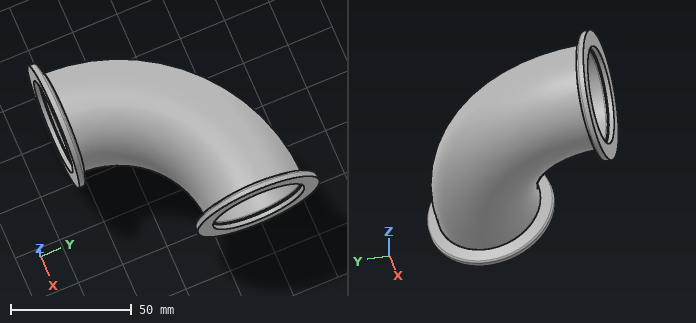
import cadquery as cq
import math

overall_length = 92.5
flange_diameter = 55.0
flange_radius = flange_diameter / 2

tube_outer_radius = 22.2
tube_bore_radius = 20.3

flange_thickness = 4.4
flange_cone_angle = 15.0
rim_round_radius = 0.9
flange_bore_radius = 20.5
flange_bore_depth = 2.2
bore_taper_length = 0.6
bend_start_depth = 3.6

bend_radius = overall_length - flange_radius - bend_start_depth
cone_height = (flange_radius - tube_outer_radius) * math.tan(math.radians(flange_cone_angle))
rim_height = flange_thickness - cone_height

inlet_center = (flange_radius, 0, 0)
outlet_center = (overall_length, overall_length - flange_radius, 0)
inlet_plane = cq.Plane(origin=inlet_center, xDir=(1, 0, 0), normal=(0, 1, 0))
outlet_plane = cq.Plane(origin=outlet_center, xDir=(0, 1, 0), normal=(-1, 0, 0))


def make_bend(radius):
    """Quarter-turn solid rod following the elbow centreline."""
    return (
        cq.Workplane(inlet_plane)
        .workplane(offset=bend_start_depth)
        .circle(radius)
        .revolve(90, (bend_radius, 0), (bend_radius, 1))
    )


def make_cylinder(plane, radius, height):
    """Cylinder running from a flange face into the elbow."""
    return cq.Workplane(plane).circle(radius).extrude(height)


def make_bore_taper(plane):
    """Short cone joining the flange bore to the tube bore."""
    return (
        cq.Workplane(plane)
        .workplane(offset=flange_bore_depth)
        .circle(flange_bore_radius)
        .workplane(offset=bore_taper_length)
        .circle(tube_bore_radius)
        .loft()
    )


def make_flange(plane):
    """Solid flange with a conical back and a rounded rim."""
    profile = [
        (0, 0),
        (flange_radius, 0),
        (flange_radius, rim_height),
        (tube_outer_radius, flange_thickness),
        (0, flange_thickness),
    ]
    blank = cq.Workplane("XZ").polyline(profile).close().revolve(360, (0, 0), (0, 1))
    rim_edge = cq.selectors.BoxSelector(
        (-flange_radius, -flange_radius, rim_height - 0.1),
        (flange_radius, flange_radius, rim_height + 0.1),
        boundingbox=False,
    )
    rounded = blank.edges("%CIRCLE").edges(rim_edge).fillet(rim_round_radius)
    return cq.Workplane(rounded.val().moved(plane.location))


outside = make_bend(tube_outer_radius)
inside = make_bend(tube_bore_radius)
for end_plane in (inlet_plane, outlet_plane):
    outside = outside.union(make_flange(end_plane))
    inside = inside.union(make_cylinder(end_plane, tube_bore_radius, bend_start_depth))
    inside = inside.union(make_cylinder(end_plane, flange_bore_radius, flange_bore_depth))
    inside = inside.union(make_bore_taper(end_plane))

result = outside.cut(inside)